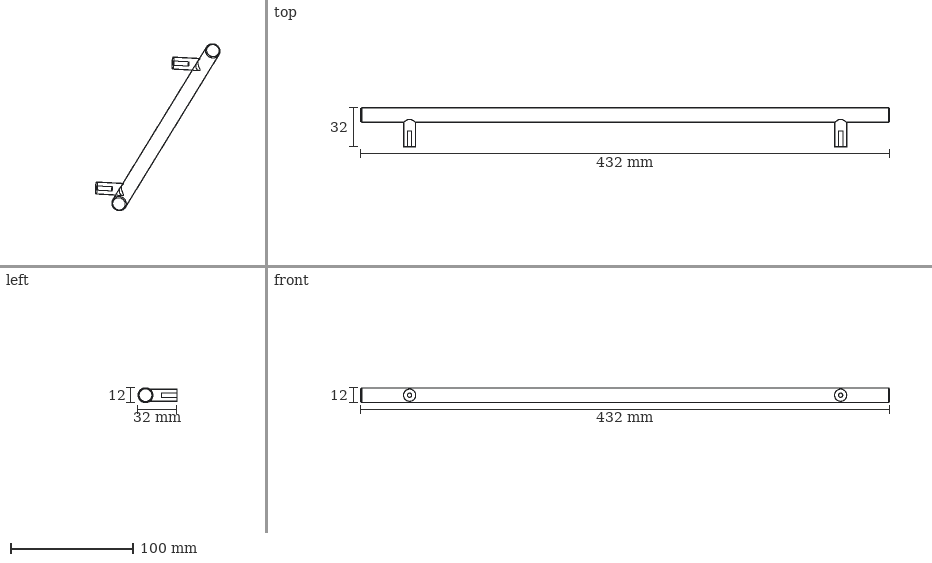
import cadquery as cq

bar_length = 432.0
bar_diameter = 12.0
bar_end_chamfer = 1.0
total_depth = 32.0
post_spacing = 352.0
post_diameter = 10.0
screw_hole_diameter = 3.5
screw_hole_depth = 13.0

foot_y = bar_diameter / 2 - total_depth


def rod_from_foot(x, diameter, length):
    """Cylinder starting at the foot plane and running toward +Y."""
    foot = cq.Workplane("XZ", origin=(x, foot_y, 0))
    return foot.circle(diameter / 2).extrude(-length)


bar = (
    cq.Workplane("YZ", origin=(-bar_length / 2, 0, 0))
    .circle(bar_diameter / 2)
    .extrude(bar_length)
    .faces("<X or >X")
    .chamfer(bar_end_chamfer)
)

result = bar
for x in (-post_spacing / 2, post_spacing / 2):
    result = result.union(rod_from_foot(x, post_diameter, -foot_y))
    result = result.cut(rod_from_foot(x, screw_hole_diameter, screw_hole_depth))